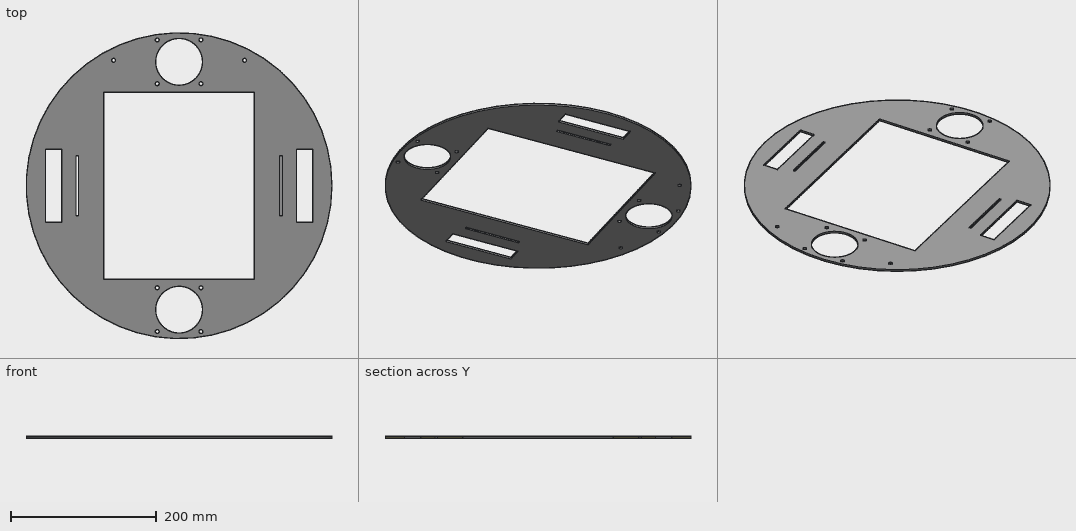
import cadquery as cq

plate_diameter = 420
plate_thickness = 3.0

window_width = 206.2
window_length = 256.5

opening_diameter = 64.0
opening_offset = 170.0
screw_diameter = 5.0
screw_spacing = 60.0

rim_hole_x = 90.0
rim_hole_y = 172.0

wide_slot_width = 22.0
wide_slot_length = 100.0
wide_slot_offset = 172.0
narrow_slot_width = 3.0
narrow_slot_length = 82.0
narrow_slot_offset = 140.0


def rectangular_cutter(width, length, x=0):
    """Block through the plate, centred on the X axis at the given x."""
    return cq.Workplane("XY").center(x, 0).rect(width, length).extrude(plate_thickness)


def round_cutters(diameter, points):
    """Cylinders through the plate at the given points."""
    return cq.Workplane("XY").pushPoints(points).circle(diameter / 2).extrude(plate_thickness)


result = cq.Workplane("XY").circle(plate_diameter / 2).extrude(plate_thickness)
result = result.cut(rectangular_cutter(window_width, window_length))

screw_points = [(-rim_hole_x, rim_hole_y), (rim_hole_x, rim_hole_y)]
for side in (-1, 1):
    opening_y = side * opening_offset
    result = result.cut(round_cutters(opening_diameter, [(0, opening_y)]))
    for dx in (-screw_spacing / 2, screw_spacing / 2):
        for dy in (-screw_spacing / 2, screw_spacing / 2):
            screw_points.append((dx, opening_y + dy))

    result = result.cut(rectangular_cutter(wide_slot_width, wide_slot_length, side * wide_slot_offset))
    result = result.cut(rectangular_cutter(narrow_slot_width, narrow_slot_length, side * narrow_slot_offset))

result = result.cut(round_cutters(screw_diameter, screw_points))